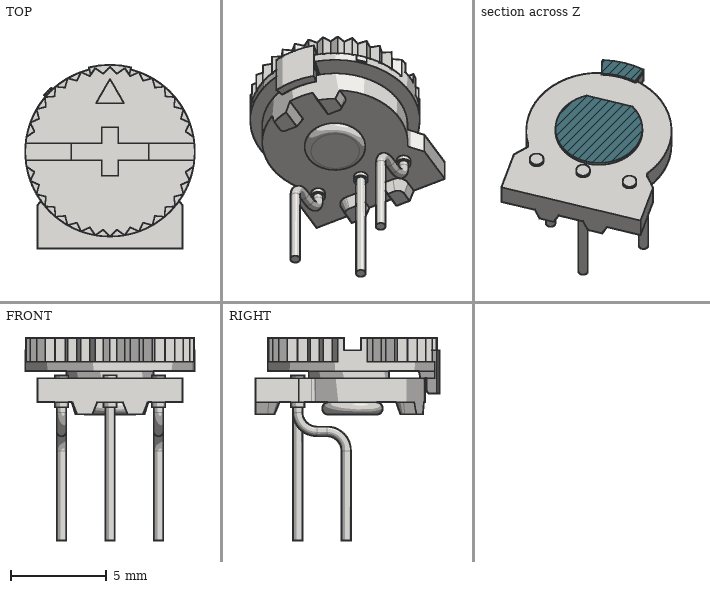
import cadquery as cq
import math


housing_radius = 3.81
housing_half_width = 3.81
housing_front_y = -5.08
housing_thickness = 1.26
shoulder_y = -2.81
shoulder_root_y = -2.06
shoulder_fillet = 0.20

foot_height = 0.64
front_foot_top_x = (0.67, 1.97)
front_foot_bottom_x = (0.93, 1.72)
front_foot_top_back_y = -3.82
front_foot_bottom_back_y = -4.085
front_foot_top_round = 0.58
front_foot_bottom_round = 0.37
rear_foot_top_x = (0.67, 2.01)
rear_foot_bottom_x = (0.93, 1.81)
rear_foot_top_back_y = 2.28
rear_foot_bottom_back_y = 2.51
rear_foot_top_round = 0.38
rear_foot_bottom_round = 0.22

bead_radius = 1.59
bead_thickness = 0.65

lead_diameter = 0.51
lead_pitch = 2.54
lead_y = -2.87
lead_bottom_z = -7.25
lead_offset_y = 2.54
bend_radius = 1.005
bend_start_z = -0.525
eyelet_diameter = 0.73
eyelet_rise = 0.15
eyelet_drop = 0.265

hub_radius = 2.29
hub_flat_y = 1.92
knob_gap = 0.365
knob_radius = 4.445
flange_thickness = 0.50
knurl_height = 1.25
knob_bottom_z = housing_thickness + knob_gap
knurl_bottom_z = knob_bottom_z + flange_thickness
knob_top_z = knurl_bottom_z + knurl_height
tooth_count = 36
tooth_valley_radius = 4.10

slot_width = 0.87
slot_depth = 0.65
cross_depth = 0.87
cross_half_length_x = 2.02
cross_half_length_y = 1.27
pointer_tip_y = 3.81
pointer_base_y = 2.55
pointer_depth = 0.40

tab_angle = 28.2
tab_outer_radius = 4.56
tab_inner_radius = 4.00
tab_bottom_z = 0.45
tab_chamfer = 0.12
tab_top_z = knob_top_z - slot_depth
lug_angle = 29.4
lug_inner_radius_top = 3.59
lug_inner_radius_bottom = 3.67

nub_angle = 136.0
nub_width = 0.54
nub_height = 0.35
nub_lift = 0.04
nub_root_radius = 4.20
nub_outer_radius = 4.55


def polar(radius, angle):
    """Point at the given radius and angle (degrees) from the +X axis."""
    turn = math.radians(angle)
    return (radius * math.cos(turn), radius * math.sin(turn))


def cylinder(radius, bottom_z, top_z, x=0.0, y=0.0):
    """Upright cylinder between two heights."""
    base = cq.Workplane("XY", origin=(x, y, bottom_z))
    return base.circle(radius).extrude(top_z - bottom_z)


def cuboid(x_min, x_max, y_min, y_max, z_min, z_max):
    """Axis-aligned block given by its limits."""
    block = cq.Workplane("XY").box(x_max - x_min, y_max - y_min, z_max - z_min, centered=False)
    return block.translate((x_min, y_min, z_min))


def make_housing():
    root_x = math.sqrt(housing_radius**2 - shoulder_root_y**2)
    outline = (
        cq.Workplane("XY")
        .moveTo(root_x, shoulder_root_y)
        .threePointArc((0, housing_radius), (-root_x, shoulder_root_y))
        .lineTo(-housing_half_width, shoulder_y)
        .lineTo(-housing_half_width, housing_front_y)
        .lineTo(housing_half_width, housing_front_y)
        .lineTo(housing_half_width, shoulder_y)
        .close()
    )
    housing = outline.extrude(housing_thickness)
    roots = cq.selectors.BoxSelector(
        (-root_x - shoulder_fillet, shoulder_root_y - shoulder_fillet, 0),
        (root_x + shoulder_fillet, shoulder_root_y + shoulder_fillet, housing_thickness),
    )
    return housing.edges("|Z").edges(roots).fillet(shoulder_fillet)


def foot_section(z, x_limits, outer_y, back_y, round_radius):
    """Closed outline of a foot at one height; its back outer corner is rounded."""
    x_inner, x_outer = x_limits
    toward_face = math.copysign(1, outer_y - back_y)
    center_x = x_outer - round_radius
    center_y = back_y + toward_face * round_radius
    diagonal = round_radius * math.sqrt(0.5)
    outline = (
        cq.Workplane("XY", origin=(0, 0, z))
        .moveTo(x_inner, outer_y)
        .lineTo(x_outer, outer_y)
        .lineTo(x_outer, center_y)
        .threePointArc(
            (center_x + diagonal, center_y - toward_face * diagonal),
            (center_x, back_y),
        )
        .lineTo(x_inner, back_y)
        .close()
    )
    return outline.val()


def make_foot_pair(top_section, bottom_section):
    loft = cq.Solid.makeLoft([top_section, bottom_section], True)
    foot = cq.Workplane("XY").newObject([loft])
    return foot.union(foot.mirror("YZ"))


def make_front_feet():
    return make_foot_pair(
        foot_section(0, front_foot_top_x, housing_front_y,
                     front_foot_top_back_y, front_foot_top_round),
        foot_section(-foot_height, front_foot_bottom_x, housing_front_y,
                     front_foot_bottom_back_y, front_foot_bottom_round),
    )


def make_rear_feet():
    feet = make_foot_pair(
        foot_section(0, rear_foot_top_x, housing_radius,
                     rear_foot_top_back_y, rear_foot_top_round),
        foot_section(-foot_height, rear_foot_bottom_x, housing_radius,
                     rear_foot_bottom_back_y, rear_foot_bottom_round),
    )
    return feet.intersect(cylinder(housing_radius, -foot_height, 0))


def make_bead():
    """Disc with a fully rounded rim, flush against the housing underside."""
    rim_radius = bead_thickness / 2
    return (
        cq.Workplane("XZ")
        .lineTo(bead_radius - rim_radius, 0)
        .threePointArc(
            (bead_radius, -rim_radius),
            (bead_radius - rim_radius, -bead_thickness),
        )
        .lineTo(0, -bead_thickness)
        .close()
        .revolve(360, (0, 0, 0), (0, 1, 0))
    )


def make_eyelet(x):
    return cylinder(eyelet_diameter / 2, -eyelet_drop, housing_thickness + eyelet_rise, x, lead_y)


def make_straight_lead():
    return cylinder(lead_diameter / 2, lead_bottom_z, 0, 0, lead_y)


def make_bent_lead(x):
    """Lead that jogs backward through two quarter bends."""
    back_y = lead_y + lead_offset_y
    level_z = bend_start_z - bend_radius
    diagonal = bend_radius * math.sqrt(0.5)
    path = (
        cq.Workplane("YZ", origin=(x, 0, 0))
        .moveTo(lead_y, 0)
        .lineTo(lead_y, bend_start_z)
        .threePointArc(
            (lead_y + bend_radius - diagonal, bend_start_z - diagonal),
            (lead_y + bend_radius, level_z),
        )
        .lineTo(back_y - bend_radius, level_z)
        .threePointArc(
            (back_y - bend_radius + diagonal, level_z - bend_radius + diagonal),
            (back_y, level_z - bend_radius),
        )
        .lineTo(back_y, lead_bottom_z)
    )
    return cq.Workplane("XY", origin=(x, lead_y, 0)).circle(lead_diameter / 2).sweep(path)


def make_hub():
    hub = cylinder(hub_radius, housing_thickness, knob_bottom_z)
    beyond_flat = cuboid(-hub_radius, hub_radius, hub_flat_y, hub_radius,
                         housing_thickness, knob_bottom_z)
    return hub.cut(beyond_flat)


def make_knurl_notches():
    """V notches between the teeth; the four beside the slot ends are left out."""
    pitch = 360 / tooth_count
    notches = cq.Workplane("XY", origin=(0, 0, knurl_bottom_z))
    beyond_rim = 2 * knob_radius - tooth_valley_radius
    for index in range(tooth_count):
        valley_angle = (index + 0.5) * pitch
        beside_slot = abs(math.sin(math.radians(valley_angle))) < math.sin(math.radians(pitch))
        if beside_slot:
            continue
        notches = notches.polyline([
            polar(tooth_valley_radius, valley_angle),
            polar(knob_radius, valley_angle - pitch / 2),
            polar(beyond_rim, valley_angle),
            polar(knob_radius, valley_angle + pitch / 2),
        ]).close()
    return notches.extrude(knurl_height)


def make_slots():
    half_width = slot_width / 2
    slot_floor_z = knob_top_z - slot_depth
    cross_floor_z = knob_top_z - cross_depth
    slot = cuboid(-knob_radius, knob_radius, -half_width, half_width, slot_floor_z, knob_top_z)
    cross_x = cuboid(-cross_half_length_x, cross_half_length_x, -half_width, half_width,
                     cross_floor_z, knob_top_z)
    cross_y = cuboid(-half_width, half_width, -cross_half_length_y, cross_half_length_y,
                     cross_floor_z, knob_top_z)
    return slot.union(cross_x).union(cross_y)


def make_pointer():
    """Equilateral triangle pocket that points to the back."""
    half_base = (pointer_tip_y - pointer_base_y) / math.sqrt(3)
    return (
        cq.Workplane("XY", origin=(0, 0, knob_top_z))
        .polyline([(-half_base, pointer_base_y), (half_base, pointer_base_y), (0, pointer_tip_y)])
        .close()
        .extrude(-pointer_depth)
    )


def back_sector(profile, angle):
    """Sector of the given angle, centred on the +Y direction, from (radius, Z) points."""
    sector = cq.Workplane("XZ").polyline(profile).close()
    sector = sector.revolve(angle, (0, 0, 0), (0, 1, 0))
    return sector.rotate((0, 0, 0), (0, 0, 1), 90 - angle / 2)


def make_stop_tab():
    tab = back_sector([
        (tab_outer_radius, tab_top_z),
        (tab_outer_radius, tab_bottom_z),
        (tab_inner_radius + tab_chamfer, tab_bottom_z),
        (tab_inner_radius, tab_bottom_z + tab_chamfer),
        (tab_inner_radius, tab_top_z),
    ], tab_angle)
    lug = back_sector([
        (knob_radius, knob_bottom_z),
        (knob_radius, housing_thickness),
        (lug_inner_radius_bottom, housing_thickness),
        (lug_inner_radius_top, knob_bottom_z),
    ], lug_angle)
    return tab.union(lug)


def make_index_nub():
    bottom_z = knob_bottom_z + nub_lift
    nub = cuboid(nub_root_radius, nub_outer_radius, -nub_width / 2, nub_width / 2,
                 bottom_z, bottom_z + nub_height)
    return nub.rotate((0, 0, 0), (0, 0, 1), nub_angle)


def make_knob():
    knob = cylinder(knob_radius, knob_bottom_z, knob_top_z)
    knob = knob.cut(make_knurl_notches())
    knob = knob.cut(make_slots())
    knob = knob.cut(make_pointer())
    return knob.union(make_stop_tab()).union(make_index_nub())


result = make_housing()
result = result.union(make_front_feet())
result = result.union(make_rear_feet())
result = result.union(make_bead())
result = result.union(make_straight_lead())
for side in (-1, 1):
    result = result.union(make_bent_lead(side * lead_pitch))
for position in (-1, 0, 1):
    result = result.union(make_eyelet(position * lead_pitch))
result = result.union(make_hub())
result = result.union(make_knob())